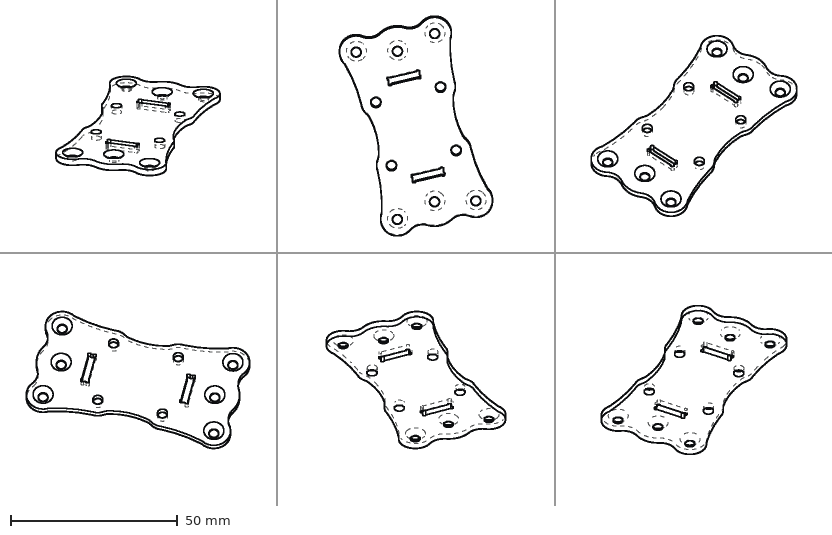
import cadquery as cq
import math

length = 62.75
width = 34.25
thickness = 2.0

corner_radius = 5.0
end_lobe_radius = 7.45
side_lobe_radius = 4.45
blend_radius = 5.0
flare_radius = 46.45
flare_outer_y = 23.65
flare_inner_y = 10.55
waist_radius = 23.85
waist_half_width = 12.2

corner_x = width / 2 - corner_radius
corner_y = length / 2 - corner_radius
end_hole_y = 23.7
side_hole_offset = 10.0

screw_diameter = 2.9
countersink_diameter = 6.0
countersink_angle = 90.0
side_hole_diameter = 3.0

slot_length = 9.55
slot_width = 2.15
slot_y = 15.3
relief_radius = 0.5
relief_inset = 0.25


def circle_meeting(center_a, radius_a, center_b, radius_b):
    """Crossing of two circles that lies to the left when going from a to b."""
    dx = center_b[0] - center_a[0]
    dy = center_b[1] - center_a[1]
    gap = math.hypot(dx, dy)
    along = (gap**2 + radius_a**2 - radius_b**2) / (2 * gap)
    aside = math.sqrt(radius_a**2 - along**2)
    return (
        center_a[0] + (along * dx - aside * dy) / gap,
        center_a[1] + (along * dy + aside * dx) / gap,
    )


def point_toward(start, target, distance):
    """Point at a distance from start on the line through target."""
    gap = math.dist(start, target)
    return tuple(s + (t - s) * distance / gap for s, t in zip(start, target))


def x_on_circle(center, radius, y):
    """Right-hand x of a circle at height y."""
    return center[0] + math.sqrt(radius**2 - (y - center[1])**2)


def make_quarter():
    """The +X, +Y quarter of the plate, without holes."""
    corner = (corner_x, corner_y)
    end_lobe = (0, end_hole_y)
    side_lobe = (side_hole_offset, side_hole_offset)
    waist = (waist_half_width + waist_radius, 0)

    end_blend = circle_meeting(
        end_lobe, end_lobe_radius + blend_radius, corner, corner_radius + blend_radius
    )
    side_blend = circle_meeting(
        waist, waist_radius - blend_radius, side_lobe, side_lobe_radius + blend_radius
    )

    waist_end = point_toward(waist, side_blend, waist_radius)
    side_lobe_start = point_toward(side_lobe, side_blend, side_lobe_radius)
    side_lobe_end = (x_on_circle(side_lobe, side_lobe_radius, flare_inner_y), flare_inner_y)
    corner_start = (x_on_circle(corner, corner_radius, flare_outer_y), flare_outer_y)
    corner_top = (corner_x, length / 2)
    corner_end = point_toward(corner, end_blend, corner_radius)
    end_lobe_start = point_toward(end_lobe, end_blend, end_lobe_radius)

    return (
        cq.Workplane("XY")
        .lineTo(waist_half_width, 0)
        .radiusArc(waist_end, waist_radius)
        .radiusArc(side_lobe_start, blend_radius)
        .radiusArc(side_lobe_end, -side_lobe_radius)
        .radiusArc(corner_start, flare_radius)
        .radiusArc(corner_top, -corner_radius)
        .radiusArc(corner_end, -corner_radius)
        .radiusArc(end_lobe_start, blend_radius)
        .radiusArc((0, end_hole_y + end_lobe_radius), -end_lobe_radius)
        .close()
        .extrude(thickness)
    )


def make_plate():
    quarter = make_quarter()
    half = quarter.union(quarter.mirror("YZ"))
    return half.union(half.mirror("XZ")).clean()


def make_slot(y):
    """Cutter for one slot, with a round relief in each corner."""
    slot = cq.Workplane("XY").center(0, y).rect(slot_length, slot_width).extrude(thickness)
    reliefs = (
        cq.Workplane("XY")
        .center(0, y)
        .rect(slot_length - 2 * relief_inset, slot_width - 2 * relief_inset, forConstruction=True)
        .vertices()
        .circle(relief_radius)
        .extrude(thickness)
    )
    return slot.union(reliefs)


plate = make_plate()

screw_points = [(x, y) for x in (-corner_x, corner_x) for y in (-corner_y, corner_y)]
screw_points += [(0, -end_hole_y), (0, end_hole_y)]
top = cq.Workplane("XY", origin=(0, 0, thickness))
plate = plate.copyWorkplane(top).pushPoints(screw_points).cskHole(
    screw_diameter, countersink_diameter, countersink_angle
)

plate = (
    plate.copyWorkplane(top)
    .rect(2 * side_hole_offset, 2 * side_hole_offset, forConstruction=True)
    .vertices()
    .hole(side_hole_diameter)
)

for y in (-slot_y, slot_y):
    plate = plate.cut(make_slot(y))

result = plate